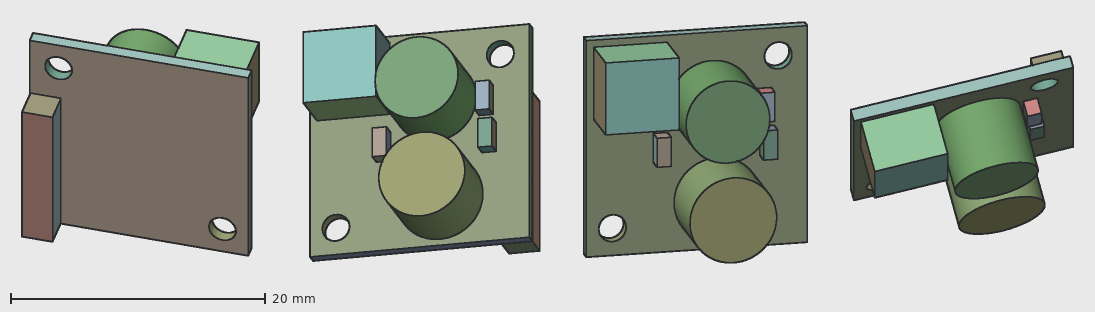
import cadquery as cq

board_size = 17.85
board_thickness = 1.0

hole_diameter = 2.2
hole_centres = [(2.36, 15.55), (15.74, 2.25)]

pin_pitch = 2.5
pin_count = 5
header_side_inset = 0.06
header_bottom_inset = 0.08

can_height = 5.6
cans = [
    ((7.27, 4.0), 7.0),
    ((7.7, 12.13), 6.76),
]

block_size = 5.93
block_height = 4.3
block_inset = 0.58

chip_width = 1.15
chip_length = 2.4
chip_height = 1.3
chip_corners = [(2.92, 10.56), (2.69, 7.43), (11.29, 7.43)]


def back_box(x, z, width, length, height):
    """Box standing on the back face with its lower left corner at (x, z)."""
    return cq.Workplane("XY").box(width, height, length, centered=False).translate((x, 0, z))


def make_board():
    board = back_box(0, 0, board_size, board_size, board_thickness)
    return board.translate((0, -board_thickness, 0))


def make_header():
    length = pin_pitch * pin_count
    header = back_box(header_side_inset, header_bottom_inset, pin_pitch, length, pin_pitch)
    return header.translate((0, -board_thickness - pin_pitch, 0))


def make_can(centre, diameter):
    x, z = centre
    axis = cq.Vector(0, 1, 0)
    return cq.Solid.makeCylinder(diameter / 2, can_height, cq.Vector(x, 0, z), axis)


def make_block():
    corner = board_size - block_inset - block_size
    return back_box(corner, corner, block_size, block_size, block_height)


def make_hole(centre):
    x, z = centre
    start = cq.Vector(x, -board_thickness, z)
    return cq.Solid.makeCylinder(hole_diameter / 2, board_thickness, start, cq.Vector(0, 1, 0))


board = make_board()
for centre in hole_centres:
    board = board.cut(make_hole(centre))

result = board.union(make_header()).union(make_block())
for centre, diameter in cans:
    result = result.union(make_can(centre, diameter))
for x, z in chip_corners:
    result = result.union(back_box(x, z, chip_width, chip_length, chip_height))